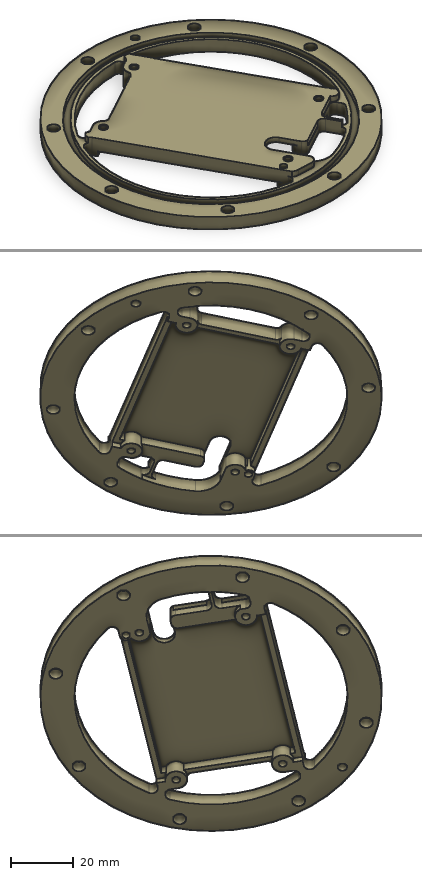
import cadquery as cq
import math

ring_diameter = 110.0
ring_height = 5.0
opening_radius = 44.0
groove_inner_diameter = 90.5
groove_outer_diameter = 95.5
groove_depth = 2.0

bolt_circle_radius = 51.0
bolt_count = 8
bolt_hole_diameter = 4.2
pin_hole_diameter = 3.0
pin_angle = 135.0

total_height = 7.2
plate_half_width = 24.0
plate_left = -30.7
plate_right = 34.3
underside_recess = 2.0
corner_radius = 2.0

screw_x = 31.0
screw_y = 17.5
screw_hole_diameter = 2.5
screw_mouth_diameter = 3.1
screw_pad_radius = 3.5
pad_left = -screw_x - screw_pad_radius
pad_foot = screw_y - screw_pad_radius
small_hole_x = 30.8
small_hole_y = -21.9
small_hole_diameter = 2.5

left_window_half_width = 22.1
pad_foot_fillet = 1.8
rib_top = 8.2
rib_bottom = 7.3
rib_end = 41.8
rib_root_limits = (rib_bottom - corner_radius, rib_top + corner_radius)
right_window_top = 20.0
slot_top = -7.0
slot_bottom = -14.1
slot_end = 21.3
slot_round = (slot_top - slot_bottom) / 2
slot_corner_radius = 2.0
window_sweep_radius = 7.7

left_ear_radius = 2.0
left_ear_x = -33.7
left_ear_y = 22.3
right_ear_radius = 2.2
right_ear_x = 34.2
right_ear_y = 22.0
tail_top_x = 41.0
tail_bottom_x = 35.0
tail_top_radius = 2.2
tail_bottom_radius = 3.0

pocket_ceiling = 5.2
pocket_half_length = 28.9
pocket_wall = 2.0


def block(x_min, x_max, y_min, y_max, z_min=0.0, z_max=total_height):
    """Box given by its limits on each axis."""
    return cq.Workplane("XY").box(
        x_max - x_min, y_max - y_min, z_max - z_min, centered=False
    ).translate((x_min, y_min, z_min))


def rod(x, y, radius, z_min=0.0, z_max=total_height):
    """Upright cylinder between two heights."""
    return cq.Workplane("XY", origin=(x, y, z_min)).circle(radius).extrude(z_max - z_min)


def edge_at(x, y):
    """Selector for the upright edge next to a point."""
    return cq.selectors.NearestToPointSelector((x, y, total_height / 2))


def circle_x(y):
    """X where the ring opening crosses a given Y."""
    return math.sqrt(opening_radius**2 - y**2)


opening = rod(0, 0, opening_radius)


def end_window():
    """Circle segment beyond the +Y side of the plate."""
    segment = opening.intersect(
        block(-opening_radius, opening_radius, plate_half_width, opening_radius)
    )
    return segment.edges("|Z").fillet(corner_radius)


def left_window():
    """Opening on the -X side, stepped around the two screw pads."""
    window = opening.intersect(
        block(-opening_radius, plate_left, -left_window_half_width, left_window_half_width)
    )
    arc_offset = screw_pad_radius * math.sqrt(0.5)
    pad = (
        cq.Workplane("XY")
        .moveTo(0, plate_half_width)
        .lineTo(pad_left, plate_half_width)
        .lineTo(pad_left, screw_y)
        .threePointArc((-screw_x - arc_offset, screw_y - arc_offset), (-screw_x, pad_foot))
        .lineTo(0, pad_foot)
        .close()
        .extrude(total_height)
    )
    window = window.cut(pad).cut(pad.mirror("XZ"))
    rim_x = -circle_x(left_window_half_width)
    for side in (1, -1):
        y = side * left_window_half_width
        window = window.edges("|Z").edges(edge_at(rim_x, y)).fillet(corner_radius)
        window = window.edges("|Z").edges(edge_at(pad_left, y)).fillet(corner_radius)
        window = window.edges("|Z").edges(edge_at(plate_left, side * pad_foot)).fillet(pad_foot_fillet)
    return window


def upper_right_window():
    """Small opening above the thin rib."""
    window = opening.intersect(block(plate_right, opening_radius, rib_top, right_window_top))
    return window.edges("|Z").fillet(corner_radius)


def lower_right_window():
    """Opening below the rib, running into a round-ended slot in the plate."""
    window = block(plate_right, opening_radius, slot_bottom, rib_bottom)
    window = window.union(block(slot_end + slot_round, plate_right, slot_bottom, slot_top))
    window = window.intersect(opening)
    corners = [
        (plate_right, rib_bottom, corner_radius),
        (circle_x(rib_bottom), rib_bottom, corner_radius),
        (circle_x(slot_bottom), slot_bottom, window_sweep_radius),
        (plate_right, slot_top, slot_corner_radius),
    ]
    for x, y, radius in corners:
        window = window.edges("|Z").edges(edge_at(x, y)).fillet(radius)
    return window.union(rod(slot_end + slot_round, slot_bottom + slot_round, slot_round))


def raised_plate():
    """Plate standing above the ring, before the windows trim it."""
    plate = block(pad_left, right_ear_x, -plate_half_width, plate_half_width)
    for side in (1, -1):
        plate = plate.union(rod(left_ear_x, side * left_ear_y, left_ear_radius))
    plate = plate.union(rod(right_ear_x, right_ear_y, right_ear_radius))
    plate = plate.union(block(0, rib_end, *rib_root_limits))
    tail = (
        cq.Workplane("XY")
        .polyline([
            (0, slot_bottom),
            (tail_top_x, slot_bottom),
            (tail_bottom_x, -plate_half_width),
            (0, -plate_half_width),
        ])
        .close()
        .extrude(total_height)
    )
    tail = tail.edges("|Z").edges(edge_at(tail_top_x, slot_bottom)).fillet(tail_top_radius)
    tail = tail.edges("|Z").edges(edge_at(tail_bottom_x, -plate_half_width)).fillet(tail_bottom_radius)
    return plate.union(tail)


def screw_pads():
    """Posts around the four screw holes and the small hole."""
    pads = rod(small_hole_x, small_hole_y, plate_half_width + small_hole_y)
    for x in (-screw_x, screw_x):
        for y in (-screw_y, screw_y):
            pads = pads.union(rod(x, y, screw_pad_radius))
    return pads


def underside_relief():
    """Shallow step under the plate and the rib that leaves the pads at full depth."""
    relief = block(-screw_x, small_hole_x, -plate_half_width, plate_half_width, 0, underside_recess)
    relief = relief.union(block(pad_left, 0, -screw_y, screw_y, 0, underside_recess))
    right_limit = plate_right + corner_radius
    relief = relief.union(block(0, right_limit, slot_bottom, screw_y, 0, underside_recess))
    relief = relief.union(block(0, opening_radius, *rib_root_limits, 0, underside_recess))
    return relief.intersect(opening).cut(screw_pads())


def underside_pocket():
    """Deeper pocket inside the plate walls, open to the slot through rounded corners."""
    half_width = plate_half_width - pocket_wall
    pocket = block(
        -pocket_half_length, pocket_half_length, -half_width, half_width, underside_recess, pocket_ceiling
    )
    mouth = block(0, plate_right, slot_bottom, slot_top, underside_recess, pocket_ceiling)
    pocket = pocket.union(mouth)
    for y in (slot_top, slot_bottom):
        pocket = pocket.edges("|Z").edges(edge_at(pocket_half_length, y)).fillet(corner_radius)
    return pocket.cut(screw_pads())


body = rod(0, 0, ring_diameter / 2, 0, ring_height).union(raised_plate())

body = body.cut(underside_relief()).cut(underside_pocket())

windows = [
    end_window(),
    end_window().mirror("XZ"),
    left_window(),
    upper_right_window(),
    lower_right_window(),
]
for window in windows:
    body = body.cut(window)

groove = rod(0, 0, groove_outer_diameter / 2, ring_height - groove_depth, ring_height)
groove = groove.cut(rod(0, 0, groove_inner_diameter / 2))
body = body.cut(groove)

for i in range(bolt_count):
    angle = math.radians((i + 0.5) * 360 / bolt_count)
    x = bolt_circle_radius * math.cos(angle)
    y = bolt_circle_radius * math.sin(angle)
    body = body.cut(rod(x, y, bolt_hole_diameter / 2))
pin_x = bolt_circle_radius * math.cos(math.radians(pin_angle))
pin_y = bolt_circle_radius * math.sin(math.radians(pin_angle))
body = body.cut(rod(pin_x, pin_y, pin_hole_diameter / 2))

countersink = (screw_mouth_diameter - screw_hole_diameter) / 2
for x in (-screw_x, screw_x):
    for y in (-screw_y, screw_y):
        hole = cq.Workplane("XY").circle(screw_hole_diameter / 2).extrude(total_height)
        mouth = cq.Workplane("XY").add(cq.Solid.makeCone(
            screw_hole_diameter / 2, screw_mouth_diameter / 2, countersink,
            pnt=cq.Vector(0, 0, total_height - countersink)))
        body = body.cut(hole.union(mouth).translate((x, y, 0)))
body = body.cut(rod(small_hole_x, small_hole_y, small_hole_diameter / 2))

result = body.solids()